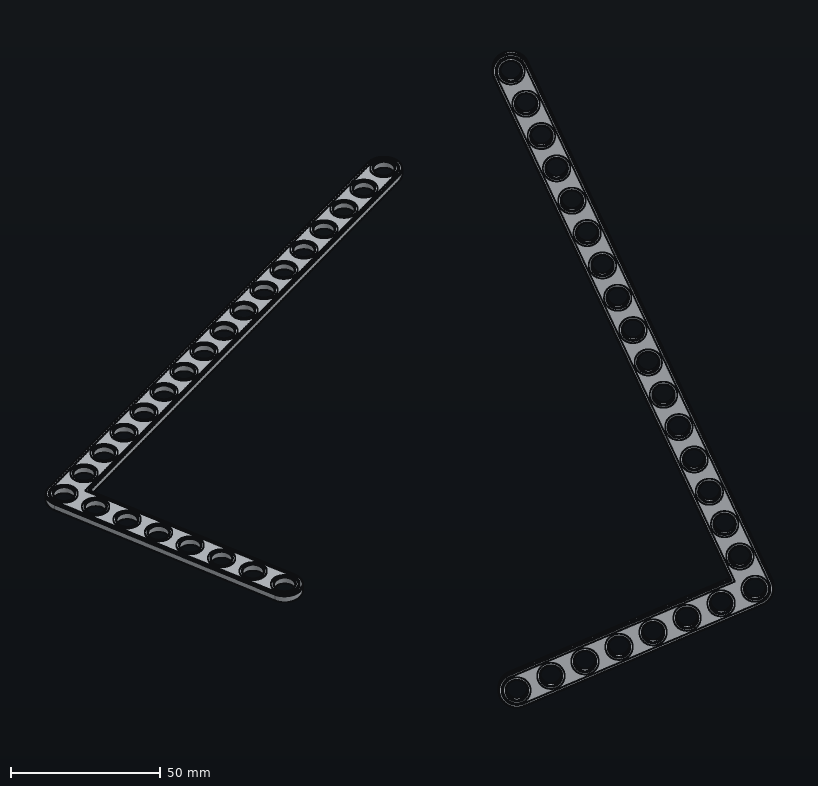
import cadquery as cq

LONG_HOLES = 17
SHORT_HOLES = 8
TOTAL_LENGTH = 212.5
THICKNESS = 3.2
HOLE_DIAMETER = 7.0
WALL_WIDTH = 1.1
EDGE_BEVEL = 0.32
RECESS_DEPTH = 0.2

PITCH = TOTAL_LENGTH / LONG_HOLES
ARM_WIDTH = PITCH
LONG_SPAN = (LONG_HOLES - 1) * PITCH
SHORT_SPAN = (SHORT_HOLES - 1) * PITCH
COLLAR_DIAMETER = HOLE_DIAMETER + 2 * WALL_WIDTH

HOLE_CENTRES = [(i * PITCH, 0) for i in range(SHORT_HOLES)]
HOLE_CENTRES += [(0, i * PITCH) for i in range(1, LONG_HOLES)]


def angle_plate(width, height):
    """L-shaped plate of two round-ended arms that share the corner hole centre."""
    short_arm = (
        cq.Workplane("XY")
        .center(SHORT_SPAN / 2, 0)
        .slot2D(SHORT_SPAN + width, width)
        .extrude(height)
    )
    long_arm = (
        cq.Workplane("XY")
        .center(0, LONG_SPAN / 2)
        .slot2D(LONG_SPAN + width, width, 90)
        .extrude(height)
    )
    return short_arm.union(long_arm).clean()


def cylinders(diameter, height):
    """One upright cylinder on every hole centre."""
    return cq.Workplane("XY").pushPoints(HOLE_CENTRES).circle(diameter / 2).extrude(height)


def bevelled_plate():
    """Drilled plate with the outline and the holes bevelled on both faces."""
    plate = angle_plate(ARM_WIDTH, THICKNESS).cut(cylinders(HOLE_DIAMETER, THICKNESS))
    return plate.faces("|Z").edges().chamfer(EDGE_BEVEL)


def recess():
    """Shallow pocket that leaves the rim and the collars standing."""
    floor = angle_plate(ARM_WIDTH - 2 * WALL_WIDTH, RECESS_DEPTH)
    return floor.cut(cylinders(COLLAR_DIAMETER, RECESS_DEPTH))


bottom_recess = recess()
top_recess = bottom_recess.translate((0, 0, THICKNESS - RECESS_DEPTH))

result = bevelled_plate().cut(top_recess).cut(bottom_recess)